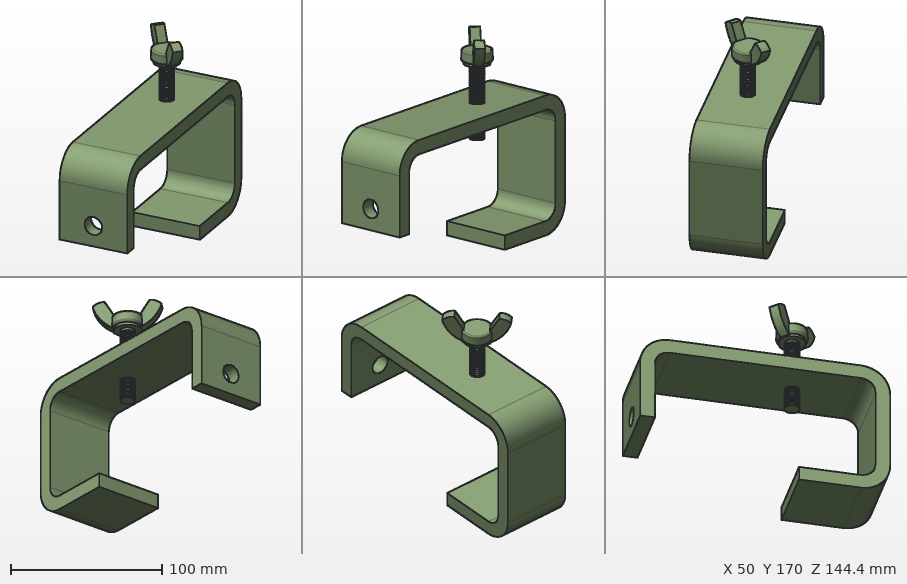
import cadquery as cq

clamp_width = 50.0
clamp_length = 170.0
clamp_height = 97.0
bar_thickness = 10.0
bend_inner_radius = 10.0
front_leg_length = 62.9
lip_length = 62.0
leg_hole_diameter = 13.0
leg_hole_height = 15.0

screw_inset = 60.9
thread_diameter = 10.0
thread_root_diameter = 8.5
thread_pitch = 1.67
thread_count = 30
thread_reach = 25.0
head_bottom_rise = 26.9

foot_radius = 9.0
foot_height = 2.0
head_lower_radius = 10.7
head_upper_radius = 10.4
head_height = 10.0
head_top_fillet = 1.0
head_bottom_fillet = 1.5

wing_thickness = 7.0
wing_screw_turn = 135.0
wing_root_reach = 9.4
wing_root_height = 1.0
wing_tip_reach = 23.0
wing_tip_height = 17.2
wing_peak_reach = 15.0
wing_peak_height = 20.5
wing_crotch_reach = 8.58
outer_curve_middle = (17.2, 6.8)
crown_curve_middle = (19.4, 19.7)

half_length = clamp_length / 2
screw_y = half_length - screw_inset
front_leg_end = clamp_height - front_leg_length
head_bottom = clamp_height + head_bottom_rise
screw_bottom = clamp_height - thread_reach


def make_clamp():
    """Sweep the bar's section along its bent centre line, then drill both holes."""
    front_y = -half_length + bar_thickness / 2
    back_y = half_length - bar_thickness / 2
    top_z = clamp_height - bar_thickness / 2
    bottom_z = bar_thickness / 2
    bend = bend_inner_radius + bar_thickness / 2

    centre_line = (
        cq.Workplane("YZ")
        .moveTo(front_y, front_leg_end)
        .lineTo(front_y, top_z - bend)
        .radiusArc((front_y + bend, top_z), bend)
        .lineTo(back_y - bend, top_z)
        .radiusArc((back_y, top_z - bend), bend)
        .lineTo(back_y, bottom_z + bend)
        .radiusArc((back_y - bend, bottom_z), bend)
        .lineTo(half_length - lip_length, bottom_z)
    )
    bar = (
        cq.Workplane("XY", origin=(0, front_y, front_leg_end))
        .rect(clamp_width, bar_thickness)
        .sweep(centre_line)
    )
    leg_hole = (
        cq.Workplane("XZ", origin=(0, -half_length, front_leg_end + leg_hole_height))
        .circle(leg_hole_diameter / 2)
        .extrude(-bar_thickness)
    )
    screw_hole = (
        cq.Workplane("XY", origin=(0, screw_y, clamp_height))
        .circle(thread_diameter / 2)
        .extrude(-bar_thickness)
    )
    return bar.cut(leg_hole).cut(screw_hole)


def revolve_about_z(profile):
    """Turn an outline of (radius, height) points about the Z axis."""
    return cq.Workplane("YZ").polyline(profile).close().revolve(360, (0, 0, 0), (0, 1, 0))


def make_shank():
    """The shank, its thread formed as a stack of V-shaped rings below a plain neck."""
    crest = thread_diameter / 2
    root = thread_root_diameter / 2
    profile = [(0, screw_bottom), (crest, screw_bottom)]
    for turn in range(thread_count):
        ring_bottom = screw_bottom + turn * thread_pitch
        profile.append((root, ring_bottom + thread_pitch / 2))
        profile.append((crest, ring_bottom + thread_pitch))
    profile += [(crest, head_bottom), (0, head_bottom)]
    return revolve_about_z(profile)


def make_head():
    """The slightly tapered round head, rounded above and below, on its narrower foot."""
    foot = revolve_about_z([(0, 0), (foot_radius, 0), (foot_radius, foot_height), (0, foot_height)])
    drum = revolve_about_z([
        (0, foot_height),
        (head_lower_radius, foot_height),
        (head_upper_radius, head_height),
        (0, head_height),
    ])
    drum = drum.faces(">Z").edges().fillet(head_top_fillet)
    drum = drum.faces("<Z").edges().fillet(head_bottom_fillet)
    return foot.union(drum).translate((0, 0, head_bottom))


def make_wing():
    """One wing, reaching out from the screw axis towards +X."""
    return (
        cq.Workplane("XZ", origin=(0, wing_thickness / 2, head_bottom))
        .lineTo(wing_root_reach, 0)
        .lineTo(wing_root_reach, wing_root_height)
        .threePointArc(outer_curve_middle, (wing_tip_reach, wing_tip_height))
        .threePointArc(crown_curve_middle, (wing_peak_reach, wing_peak_height))
        .lineTo(wing_crotch_reach, head_height)
        .lineTo(0, head_height)
        .close()
        .extrude(wing_thickness)
    )


def make_wing_screw():
    """Shank, head and two opposite wings as one solid, turned and set in place."""
    screw = make_shank().union(make_head())
    for wing_angle in (0, 180):
        screw = screw.union(make_wing().rotate((0, 0, 0), (0, 0, 1), wing_angle))
    return screw.rotate((0, 0, 0), (0, 0, 1), wing_screw_turn).translate((0, screw_y, 0))


clamp = make_clamp()
wing_screw = make_wing_screw()
result = cq.Compound.makeCompound([clamp.val(), wing_screw.val()])